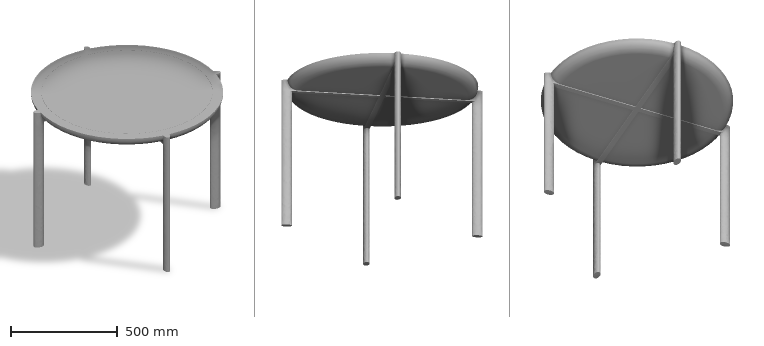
import cadquery as cq
import math

top_diameter = 899.0
panel_diameter = 798.0
height = 720.0
top_radius = top_diameter / 2
panel_radius = panel_diameter / 2
rim_radius = top_radius - panel_radius

leg_circle_radius = 451.0
leg_length_across = 50.0
leg_width = 31.0
leg_count = 4
first_leg_angle = 45.0

bar_width = 25.0
bar_drop = 4.0
bar_bottom = height - rim_radius - bar_drop
bar_height = 25.0
bar_length = 2 * leg_circle_radius

joint_width = 1.0
joint_depth = 2.0


def make_top():
    """Disc with a flat upper face and a quarter-round lower edge."""
    arc_offset = rim_radius * math.sqrt(0.5)
    profile = (
        cq.Workplane("XZ")
        .moveTo(0, height)
        .lineTo(top_radius, height)
        .threePointArc(
            (panel_radius + arc_offset, height - arc_offset),
            (panel_radius, height - rim_radius),
        )
        .lineTo(0, height - rim_radius)
        .close()
    )
    return profile.revolve(360, (0, 0, 0), (0, 1, 0))


def make_panel_joint():
    """Narrow ring that parts the panel from the rim on the upper face."""
    return (
        cq.Workplane("XY", origin=(0, 0, height - joint_depth))
        .circle(panel_radius + joint_width)
        .circle(panel_radius)
        .extrude(joint_depth)
    )


def make_leg(angle):
    """Full-height oval post on the rim at the given angle."""
    return (
        cq.Workplane("XY")
        .center(leg_circle_radius, 0)
        .ellipse(leg_length_across / 2, leg_width / 2)
        .extrude(height)
        .rotate((0, 0, 0), (0, 0, 1), angle)
    )


def make_bar(angle):
    """Bar along a full diameter at the given angle, partly sunk in the top."""
    return (
        cq.Workplane("XY", origin=(0, 0, bar_bottom))
        .rect(bar_length, bar_width)
        .extrude(bar_height)
        .rotate((0, 0, 0), (0, 0, 1), angle)
    )


leg_spacing = 360 / leg_count
result = make_top().cut(make_panel_joint())
for index in range(leg_count):
    result = result.union(make_leg(first_leg_angle + index * leg_spacing))
for index in range(leg_count // 2):
    result = result.union(make_bar(first_leg_angle + index * leg_spacing))